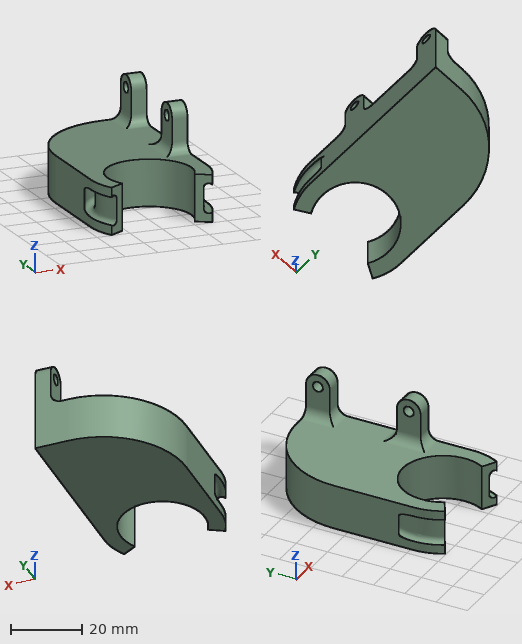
import cadquery as cq
import math

bore_diameter = 25.65
clip_wall = 5.0
body_height = 14.0
bore_to_back = 50.8
corner_radius = 25.4
arm_angle = 30.0

bore_radius = bore_diameter / 2
outer_radius = bore_radius + clip_wall

channel_inner_radius = bore_radius + clip_wall / 2
channel_thickness = 3.1
channel_height = 8.85
channel_mid_radius = channel_inner_radius + channel_thickness / 2

lug_thickness = 4.76
lug_width = 7.62
lug_spacing = 29.0
lug_hole_diameter = 3.175
total_height = 27.97
lug_root_fillet = 3.175

lug_radius = lug_width / 2
lug_hole_height = total_height - lug_radius
back_lug_y = bore_to_back - lug_radius
front_lug_y = back_lug_y - lug_spacing
lug_inner_x = outer_radius - lug_thickness


def polar(radius, angle):
    """Point at a radius and an angle in degrees around the bore axis."""
    return radius * math.cos(math.radians(angle)), radius * math.sin(math.radians(angle))


def make_body():
    """Plate with one large rounded back corner and two arms around the open bore."""
    corner_y = bore_to_back - corner_radius
    corner_x = corner_radius - outer_radius
    corner_middle_offset = corner_radius * math.sqrt(0.5)
    corner_middle = (corner_x - corner_middle_offset, corner_y + corner_middle_offset)
    return (
        cq.Workplane("XY")
        .moveTo(outer_radius, bore_to_back)
        .lineTo(corner_x, bore_to_back)
        .threePointArc(corner_middle, (-outer_radius, corner_y))
        .lineTo(-outer_radius, 0)
        .threePointArc(polar(outer_radius, 180 + arm_angle / 2), polar(outer_radius, 180 + arm_angle))
        .lineTo(*polar(bore_radius, 180 + arm_angle))
        .threePointArc((0, bore_radius), polar(bore_radius, -arm_angle))
        .lineTo(*polar(outer_radius, -arm_angle))
        .threePointArc(polar(outer_radius, -arm_angle / 2), (outer_radius, 0))
        .close()
        .extrude(body_height)
    )


def make_tie_channel():
    """Ring with a fully rounded slot section, centred on the body height."""
    return (
        cq.Workplane("XZ")
        .center(-channel_mid_radius, body_height / 2)
        .slot2D(channel_height, channel_thickness, 90)
        .revolve(360, (channel_mid_radius, 0), (channel_mid_radius, 1))
    )


def make_lug(center_y):
    """Round-topped ear standing on the body, flush with its +X side."""
    return (
        cq.Workplane("YZ", origin=(lug_inner_x, center_y, 0))
        .moveTo(-lug_radius, 0)
        .lineTo(-lug_radius, lug_hole_height)
        .threePointArc((0, total_height), (lug_radius, lug_hole_height))
        .lineTo(lug_radius, 0)
        .close()
        .extrude(lug_thickness)
    )


def make_lug_hole(center_y):
    return (
        cq.Workplane("YZ", origin=(lug_inner_x, center_y, lug_hole_height))
        .circle(lug_hole_diameter / 2)
        .extrude(lug_thickness)
    )


def root_edges(part, center_y, side_ys):
    """Edges where a lug meets the top face: its inner face and the sides at side_ys."""
    middle_x = lug_inner_x + lug_thickness / 2
    points = [(lug_inner_x, center_y)]
    for side_y in side_ys:
        points.append((middle_x, side_y))
    edges = []
    for x, y in points:
        edges += part.edges(cq.selectors.NearestToPointSelector((x, y, body_height))).vals()
    return edges


result = make_body()
for lug_y in (back_lug_y, front_lug_y):
    result = result.union(make_lug(lug_y))

fillet_edges = root_edges(result, back_lug_y, [back_lug_y - lug_radius])
fillet_edges += root_edges(result, front_lug_y, [front_lug_y - lug_radius, front_lug_y + lug_radius])
result = result.newObject(fillet_edges).fillet(lug_root_fillet)

for lug_y in (back_lug_y, front_lug_y):
    result = result.cut(make_lug_hole(lug_y))
result = result.cut(make_tie_channel())